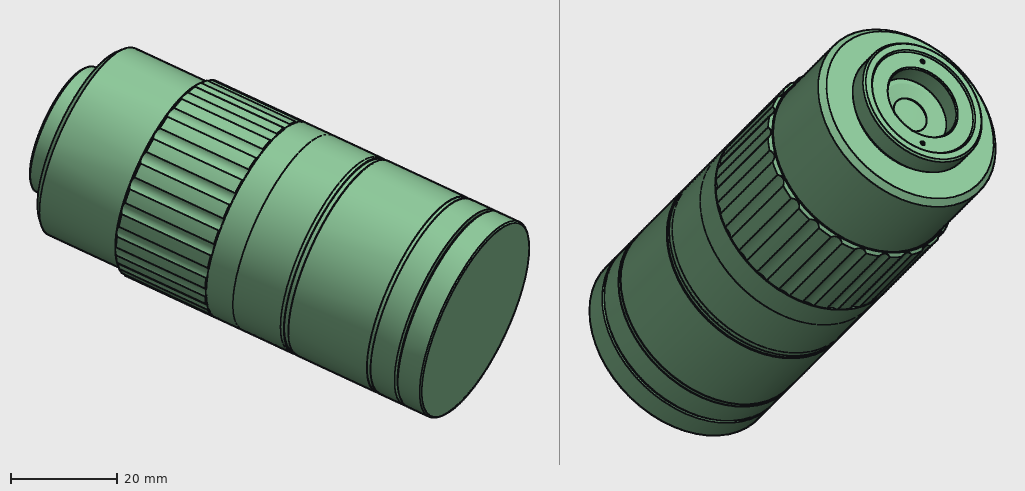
import cadquery as cq
import math


SHOULDER_X = 5.0
GRIP_START_X = 22.8
GRIP_END_X = 43.0
COLLAR_START_X = 48.8
COLLAR_END_X = 59.2
WIDE_GROOVE_X = 60.5
NARROW_GROOVE_X = 78.55
BARREL_END_X = 84.2
NOSE_GAP = 0.45
NOSE_START_X = BARREL_END_X + NOSE_GAP
LENGTH = 90.0

OUTER_RADIUS = 20.25
HOUSING_RADIUS = 19.4
MOUNT_RADIUS = 13.0
NECK_RADIUS = 12.4

HOUSING_CHAMFER = 1.15
MOUNT_RIM_CHAMFER = 0.4
MOUNT_BACK_TAPER = 0.25
MOUNT_LENGTH = 4.25
SMALL_CHAMFER = 0.3

RETAINER_RADIUS = 11.0
RETAINER_RECESS = SMALL_CHAMFER
RETAINER_BORE_RADIUS = 7.45
RETAINER_CHAMFER = 0.25
SPANNER_HOLE_DIAMETER = 0.9
SPANNER_HOLE_DEPTH = 0.4
SPANNER_HOLE_OFFSET = 9.5

CORE_START_X = 4.2
CORE_RADIUS = RETAINER_RADIUS
COLLAR_RADIUS = 20.08
CONE_OUTER_RADIUS = 6.45
LENS_RADIUS = 3.6
CONE_ANGLE = 13.0
CONE_DEPTH = (CONE_OUTER_RADIUS - LENS_RADIUS) * math.tan(math.radians(CONE_ANGLE))
LENS_RECESS = 0.2
LENS_CURVATURE_RADIUS = 120.0
LENS_SAG = LENS_CURVATURE_RADIUS - math.sqrt(LENS_CURVATURE_RADIUS ** 2 - LENS_RADIUS ** 2)

FLUTE_COUNT = 24
FLUTE_RADIUS = 2.0
FLUTE_WIDTH = 2.44
GRIP_START_CHAMFER = 0.6
GRIP_END_CHAMFER = 0.2

WIDE_GROOVE_WIDTH = 1.0
WIDE_GROOVE_DEPTH = 0.25
NARROW_GROOVE_WIDTH = 0.8
NARROW_GROOVE_DEPTH = 0.1


def turned(points):
    """Revolve a closed outline of (x, radius) points about the X axis."""
    return cq.Workplane("XZ").polyline(points).close().revolve(360, (0, 0, 0), (1, 0, 0))


def tube(start, end, outer, inner, start_chamfer=0.0, end_chamfer=0.0):
    """Plain ring along X with 45-degree chamfers on its outer edges."""
    ring = cq.Workplane("YZ", origin=(start, 0, 0)).circle(outer).circle(inner).extrude(end - start)
    outer_edge = cq.selectors.RadiusNthSelector(-1)
    if start_chamfer:
        ring = ring.faces("<X").edges(outer_edge).chamfer(start_chamfer)
    if end_chamfer:
        ring = ring.faces(">X").edges(outer_edge).chamfer(end_chamfer)
    return ring


def make_housing():
    """Front housing with the mount flange and a stepless bore."""
    return turned([
        (0, RETAINER_RADIUS + SMALL_CHAMFER),
        (0, MOUNT_RADIUS - MOUNT_RIM_CHAMFER),
        (MOUNT_RIM_CHAMFER, MOUNT_RADIUS),
        (MOUNT_LENGTH, MOUNT_RADIUS),
        (MOUNT_LENGTH + MOUNT_BACK_TAPER, NECK_RADIUS),
        (SHOULDER_X, NECK_RADIUS),
        (SHOULDER_X, HOUSING_RADIUS - HOUSING_CHAMFER),
        (SHOULDER_X + HOUSING_CHAMFER, HOUSING_RADIUS),
        (GRIP_START_X, HOUSING_RADIUS),
        (GRIP_START_X, RETAINER_RADIUS),
        (SMALL_CHAMFER, RETAINER_RADIUS),
    ])


def make_retainer():
    """Threaded-in ring with two spanner holes, slightly below the mount face."""
    ring = turned([
        (RETAINER_RECESS, RETAINER_BORE_RADIUS + RETAINER_CHAMFER),
        (RETAINER_RECESS, RETAINER_RADIUS),
        (CORE_START_X, RETAINER_RADIUS),
        (CORE_START_X, RETAINER_BORE_RADIUS),
        (RETAINER_RECESS + RETAINER_CHAMFER, RETAINER_BORE_RADIUS),
    ])
    spanner_holes = (
        cq.Workplane("YZ", origin=(RETAINER_RECESS, 0, 0))
        .pushPoints([(0, SPANNER_HOLE_OFFSET), (0, -SPANNER_HOLE_OFFSET)])
        .circle(SPANNER_HOLE_DIAMETER / 2)
        .extrude(SPANNER_HOLE_DEPTH)
    )
    return ring.cut(spanner_holes)


def make_core():
    """Optical core: dished front with a shallow convex lens face, and a collar inside the barrel."""
    lens_rim_x = CORE_START_X + CONE_DEPTH + LENS_RECESS
    lens_top_x = lens_rim_x - LENS_SAG
    mid_radius = LENS_RADIUS / 2
    mid_sag = LENS_CURVATURE_RADIUS - math.sqrt(LENS_CURVATURE_RADIUS ** 2 - mid_radius ** 2)
    return (
        cq.Workplane("XY")
        .moveTo(lens_top_x, 0)
        .threePointArc((lens_top_x + mid_sag, -mid_radius), (lens_rim_x, -LENS_RADIUS))
        .lineTo(CORE_START_X + CONE_DEPTH, -LENS_RADIUS)
        .lineTo(CORE_START_X, -CONE_OUTER_RADIUS)
        .lineTo(CORE_START_X, -CORE_RADIUS)
        .lineTo(COLLAR_START_X, -CORE_RADIUS)
        .lineTo(COLLAR_START_X, -COLLAR_RADIUS)
        .lineTo(COLLAR_END_X, -COLLAR_RADIUS)
        .lineTo(COLLAR_END_X, 0)
        .close()
        .revolve(360, (0, 0, 0), (1, 0, 0))
    )


def make_grip():
    """Grip ring with round-bottomed flutes along its whole length."""
    ring = tube(GRIP_START_X, GRIP_END_X, OUTER_RADIUS, CORE_RADIUS, GRIP_START_CHAMFER, GRIP_END_CHAMFER)
    half_width = FLUTE_WIDTH / 2
    flute_center_radius = (
        math.sqrt(OUTER_RADIUS ** 2 - half_width ** 2) + math.sqrt(FLUTE_RADIUS ** 2 - half_width ** 2)
    )
    flutes = (
        cq.Workplane("YZ", origin=(GRIP_START_X, 0, 0))
        .polarArray(flute_center_radius, 0, 360, FLUTE_COUNT)
        .circle(FLUTE_RADIUS)
        .extrude(GRIP_END_X - GRIP_START_X)
    )
    return ring.cut(flutes)


def ring_groove(middle, width, depth):
    """Cutter for a square groove around the barrel."""
    return tube(middle - width / 2, middle + width / 2, OUTER_RADIUS + depth, OUTER_RADIUS - depth)


def make_barrel(core):
    """Long barrel with two grooves, closed around the core's collar."""
    barrel = (
        cq.Workplane("YZ", origin=(GRIP_END_X, 0, 0))
        .circle(OUTER_RADIUS)
        .extrude(BARREL_END_X - GRIP_END_X)
    )
    return (
        barrel
        .cut(ring_groove(WIDE_GROOVE_X, WIDE_GROOVE_WIDTH, WIDE_GROOVE_DEPTH))
        .cut(ring_groove(NARROW_GROOVE_X, NARROW_GROOVE_WIDTH, NARROW_GROOVE_DEPTH))
        .cut(core)
    )


def make_nose():
    """Nose disc, set off from the barrel by a narrow gap, with both rims chamfered."""
    return (
        cq.Workplane("YZ", origin=(NOSE_START_X, 0, 0))
        .circle(OUTER_RADIUS)
        .extrude(LENGTH - NOSE_START_X)
        .edges()
        .chamfer(SMALL_CHAMFER)
    )


housing = make_housing()
retainer = make_retainer()
core = make_core()
grip = make_grip()
barrel = make_barrel(core)
nose = make_nose()

result = cq.Compound.makeCompound([
    housing.val(), retainer.val(), core.val(), grip.val(), barrel.val(), nose.val(),
])